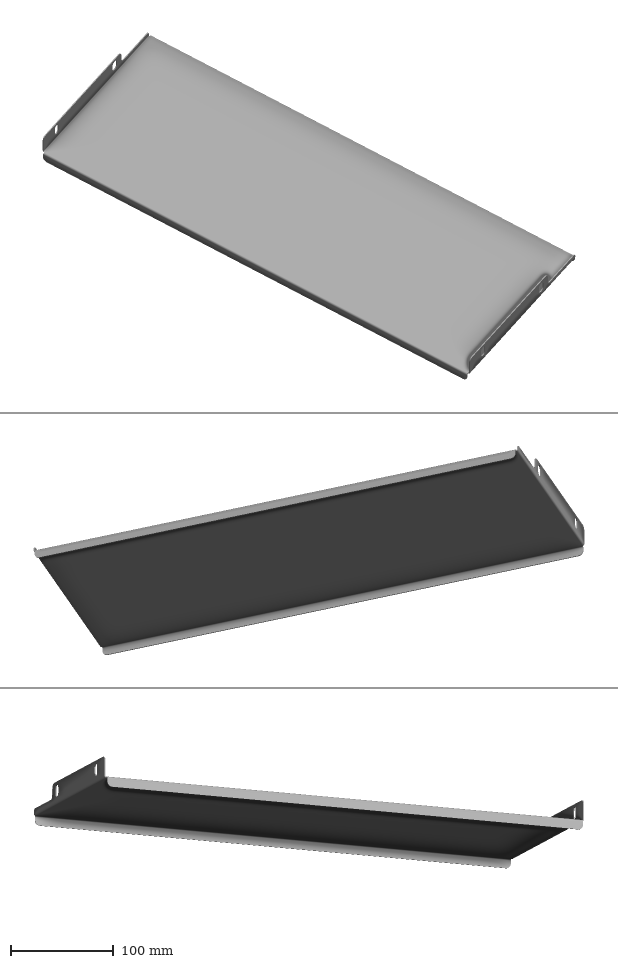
import cadquery as cq

length = 506.0
width = 186.0
height = 31.0

sheet = 1.0
bend_outer = 2.0
bend_inner = bend_outer - sheet
panel_bottom = 9.0
panel_top = panel_bottom + sheet

flange_half_width = 90.5
low_edge_z = 15.5
step_y = 43.5
step_radius = 5.0
step_root_radius = 4.0
low_corner_radius = 2.5
front_corner_radius = 4.5

slot_z = 22.0
slot_height = 12.0
wide_slot_width = 7.5
narrow_slot_width = 6.0
wide_slot_y = 32.0
slot_spacing = 100.0

lip_length = 502.0
lip_corner_radius = 5.0


def bent_channel(outer_span, run, leg, wall_up):
    """U-shaped channel along Y, with its web on the panel and rounded bends."""
    bottom = panel_bottom if wall_up else panel_top - leg
    outer = cq.Workplane("XY").box(outer_span, run, leg, centered=(True, True, False))
    inner = cq.Workplane("XY").box(outer_span - 2 * sheet, run, leg, centered=(True, True, False))
    web_side = "<Z" if wall_up else ">Z"
    outer = outer.edges(f"|Y and {web_side}").fillet(bend_outer)
    inner = inner.edges(f"|Y and {web_side}").fillet(bend_inner)
    inner_shift = sheet if wall_up else -sheet
    return outer.cut(inner.translate((0, 0, inner_shift))).translate((0, 0, bottom))


def flange_outline():
    """Stepped side profile, extruded across the full length of the part."""
    profile = (
        cq.Workplane("YZ")
        .polyline([
            (-flange_half_width, panel_bottom),
            (flange_half_width, panel_bottom),
            (flange_half_width, low_edge_z),
            (step_y, low_edge_z),
            (step_y, height),
            (-flange_half_width, height),
        ])
        .close()
        .extrude(length / 2, both=True)
    )

    def round_corner(body, y, z, radius):
        return body.edges(cq.selectors.NearestToPointSelector((0, y, z))).fillet(radius)

    profile = round_corner(profile, flange_half_width, low_edge_z, low_corner_radius)
    profile = round_corner(profile, step_y, low_edge_z, step_root_radius)
    profile = round_corner(profile, step_y, height, step_radius)
    return round_corner(profile, -flange_half_width, height, front_corner_radius)


def flange_slot(y, slot_width):
    """Upright round-ended slot cutter passing through both end flanges."""
    return (
        cq.Workplane("YZ")
        .center(y, slot_z)
        .slot2D(slot_height, slot_width, 90)
        .extrude(length, both=True)
    )


ends = bent_channel(length, 2 * flange_half_width, height - panel_bottom, True)
ends = ends.intersect(flange_outline())
ends = ends.cut(flange_slot(wide_slot_y, wide_slot_width))
ends = ends.cut(flange_slot(wide_slot_y - slot_spacing, narrow_slot_width))

lips = bent_channel(width, lip_length, panel_top, False)
lips = lips.rotate((0, 0, 0), (0, 0, 1), 90)
lip_outline = (
    cq.Workplane("XY")
    .box(lip_length, width, panel_top, centered=(True, True, False))
    .edges("|Y and <Z")
    .fillet(lip_corner_radius)
)
lips = lips.intersect(lip_outline)

panel_region = (
    cq.Workplane("XY")
    .box(length, 2 * flange_half_width, height, centered=(True, True, False))
)
lips = lips.cut(panel_region)

result = ends.union(lips)